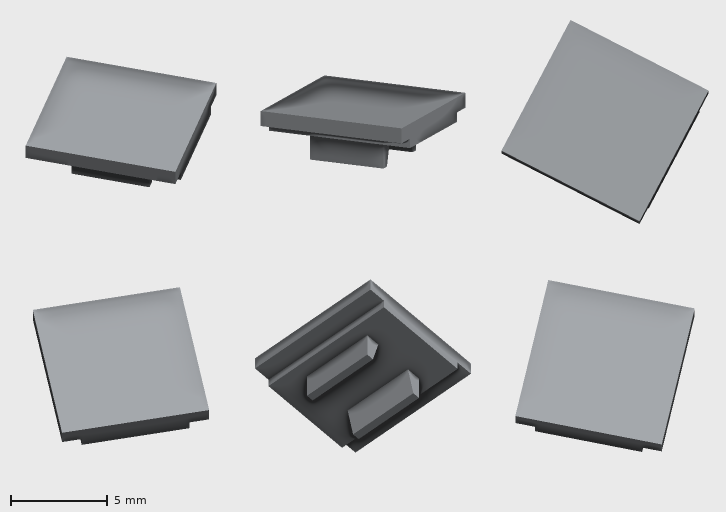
import cadquery as cq

length = 8.1
plate_width = 7.8
total_height = 2.86
plate_thickness = 0.81

step_width = 5.72
step_thickness = 0.51

leg_length = 4.23
leg_outer_span = 4.02
leg_root_thickness = 0.86
leg_tip_thickness = 0.44

plate_bottom = total_height - plate_thickness
step_bottom = plate_bottom - step_thickness


def slab(width, thickness, bottom):
    """Full-length block centred in X and Y, standing on the given height."""
    return (
        cq.Workplane("XY")
        .workplane(offset=bottom)
        .box(length, width, thickness, centered=(True, True, False))
    )


def leg(side):
    """Leg with a vertical outer face and a sloped inner face; side is +1 or -1 in Y."""
    outer = leg_outer_span / 2
    profile = [
        (side * outer, step_bottom),
        (side * outer, 0),
        (side * (outer - leg_tip_thickness), 0),
        (side * (outer - leg_root_thickness), step_bottom),
    ]
    return cq.Workplane("YZ").polyline(profile).close().extrude(leg_length / 2, both=True)


result = slab(plate_width, plate_thickness, plate_bottom)
result = result.union(slab(step_width, step_thickness, step_bottom))
for side in (-1, 1):
    result = result.union(leg(side))